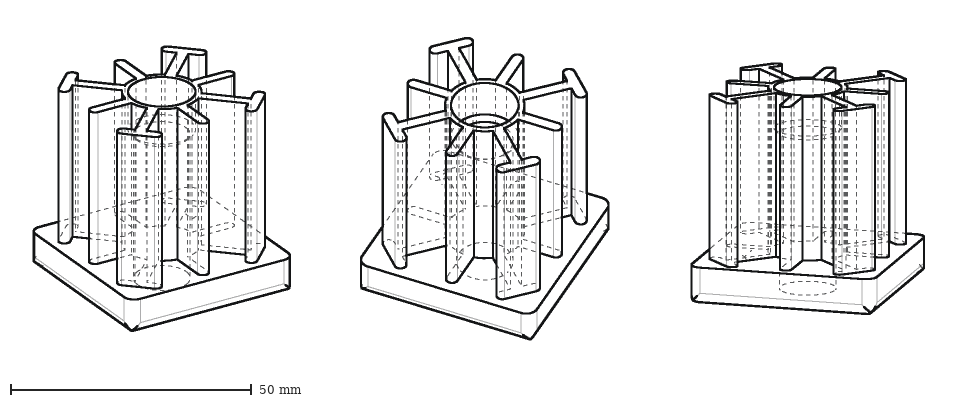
import cadquery as cq

HEIGHT = 43.0
SIDE = 40.0
BASE_HEIGHT = 8.0
EDGE_RADIUS = 2.5

HUB_DIAMETER = 16.5
BORE_TOP_DIAMETER = 14.0
BORE_BOTTOM_DIAMETER = 11.82
STEP_DEPTH = 8.7
TAPER_HEIGHT = (BORE_TOP_DIAMETER - BORE_BOTTOM_DIAMETER) / 2

RIB_WIDTH = 2.5
STRAIGHT_RIB_REACH = 17.5
T_RIB_REACH = 21.2
CROSSBAR_LENGTH = 9.5

RIB_HEIGHT = HEIGHT - BASE_HEIGHT
ROUND_END = RIB_WIDTH / 2
FULL_TURN = 360
RIB_ANGLE_STEP = FULL_TURN // 4


def make_base():
    """Square foot with rounded corners; its bottom edges are rolled and meet in miters."""
    def rolled_bar():
        bar = cq.Workplane("XY").box(SIDE, SIDE, BASE_HEIGHT, centered=(True, True, False))
        return bar.edges("|Y and <Z").fillet(EDGE_RADIUS)

    across_x = rolled_bar()
    across_y = rolled_bar().rotate((0, 0, 0), (0, 0, 1), 90)
    corners = (
        cq.Workplane("XY")
        .box(SIDE, SIDE, BASE_HEIGHT, centered=(True, True, False))
        .edges("|Z")
        .fillet(EDGE_RADIUS)
    )
    return corners.intersect(across_x).intersect(across_y)


def make_straight_rib(angle):
    """Radial rib from the axis to a rounded tip."""
    tip_center = STRAIGHT_RIB_REACH - ROUND_END
    web = cq.Workplane("XY").box(tip_center, RIB_WIDTH, RIB_HEIGHT, centered=(False, True, False))
    tip = cq.Workplane("XY").center(tip_center, 0).circle(ROUND_END).extrude(RIB_HEIGHT)
    return web.union(tip).rotate((0, 0, 0), (0, 0, 1), angle).translate((0, 0, BASE_HEIGHT))


def make_t_rib(angle):
    """Radial rib ending in a crossbar with rounded ends."""
    crossbar_center = T_RIB_REACH - ROUND_END
    web = cq.Workplane("XY").box(crossbar_center, RIB_WIDTH, RIB_HEIGHT, centered=(False, True, False))
    crossbar = (
        cq.Workplane("XY")
        .center(crossbar_center, 0)
        .slot2D(CROSSBAR_LENGTH, RIB_WIDTH, 90)
        .extrude(RIB_HEIGHT)
    )
    return web.union(crossbar).rotate((0, 0, 0), (0, 0, 1), angle).translate((0, 0, BASE_HEIGHT))


def make_bore():
    """Through bore: wide at the top, a cone below it, then the narrow part."""
    top_radius = BORE_TOP_DIAMETER / 2
    bottom_radius = BORE_BOTTOM_DIAMETER / 2
    step_z = HEIGHT - STEP_DEPTH
    profile = [
        (0, 0),
        (bottom_radius, 0),
        (bottom_radius, step_z - TAPER_HEIGHT),
        (top_radius, step_z),
        (top_radius, HEIGHT),
        (0, HEIGHT),
    ]
    return cq.Workplane("XZ").polyline(profile).close().revolve(FULL_TURN, (0, 0, 0), (0, 1, 0))


hub = cq.Workplane("XY").workplane(offset=BASE_HEIGHT).circle(HUB_DIAMETER / 2).extrude(RIB_HEIGHT)

body = make_base().union(hub)
for straight_angle in range(0, FULL_TURN, RIB_ANGLE_STEP):
    body = body.union(make_straight_rib(straight_angle))
    body = body.union(make_t_rib(straight_angle + RIB_ANGLE_STEP / 2))

result = body.cut(make_bore())